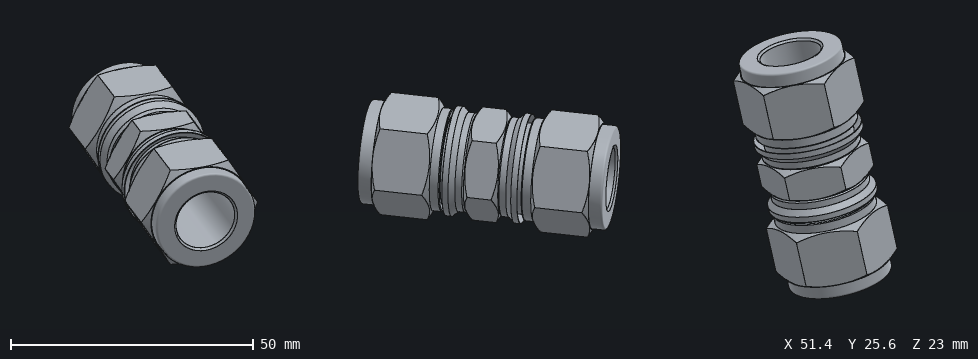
import cadquery as cq
import math

length = 51.4
half_length = length / 2

nut_flats = 22.2
nut_rim_diameter = 21.8
nut_rim_rounding = 0.5
nut_hex_start = 2.95
nut_hex_face_diameter = 22.1
nut_hex_end = 15.05
collar_diameter = 21.5
collar_end = 17.1
collar_chamfer = 0.2

neck_diameter = 18.9
flange_diameter = 23.0
flange_start = 17.85
flange_end = 19.1
shoulder_diameter = 20.75
cone_end = 20.35
dish_mouth_diameter = 22.7
dish_depth = 1.9
shoulder_end = 22.1
shoulder_chamfer = 0.3
body_flats = 20.55
body_hex_face_diameter = 20.05

bore_diameter = 10.45
socket_diameter = 12.9
socket_depth = 22.85
socket_mouth_chamfer = 0.45

corner_angle = math.radians(30)


def cylinder(start, end, diameter):
    """Solid cylinder on the X axis, with start and end measured from the -X end face."""
    plane = cq.Workplane("YZ", origin=(start - half_length, 0, 0))
    return plane.circle(diameter / 2).extrude(end - start)


def cone(start, end, start_diameter, end_diameter):
    """Solid truncated cone on the X axis, positioned like cylinder()."""
    return (
        cq.Workplane("YZ", origin=(start - half_length, 0, 0))
        .circle(start_diameter / 2)
        .workplane(offset=end - start)
        .circle(end_diameter / 2)
        .loft()
    )


def chamfered_hex(start, end, flats, start_diameter, end_diameter):
    """Hexagon with corners on +Y and -Y, trimmed by a cone at each end."""
    across_corners = flats / math.cos(math.pi / 6)
    plane = cq.Workplane("YZ", origin=(start - half_length, 0, 0))
    hexagon = plane.polygon(6, across_corners).extrude(end - start)

    corner_radius = across_corners / 2
    start_run = (corner_radius - start_diameter / 2) * math.tan(corner_angle)
    end_run = (corner_radius - end_diameter / 2) * math.tan(corner_angle)
    envelope = (
        cq.Workplane("XY")
        .polyline([
            (start - half_length, 0),
            (start - half_length, start_diameter / 2),
            (start + start_run - half_length, corner_radius),
            (end - end_run - half_length, corner_radius),
            (end - half_length, end_diameter / 2),
            (end - half_length, 0),
        ])
        .close()
        .revolve(360, (0, 0, 0), (1, 0, 0))
    )
    return hexagon.intersect(envelope)


def nut():
    """Nut at the -X end: rounded rim, hexagon and inner collar."""
    rim = cylinder(0, nut_hex_start, nut_rim_diameter).faces("<X").edges().fillet(nut_rim_rounding)
    hexagon = chamfered_hex(
        nut_hex_start, nut_hex_end, nut_flats, nut_hex_face_diameter, collar_diameter
    )
    collar = cylinder(nut_hex_end, collar_end, collar_diameter)
    collar = collar.faces(">X").edges().chamfer(collar_chamfer)
    return rim.union(hexagon).union(collar)


def body_half():
    """Neck, dished flange and shoulder between the -X nut and the central hexagon."""
    flange = cylinder(flange_start, flange_end, flange_diameter)
    flange_back = cone(flange_end, cone_end, flange_diameter, shoulder_diameter)
    shoulder = cylinder(cone_end, shoulder_end, shoulder_diameter)
    shoulder = shoulder.faces(">X").edges().chamfer(shoulder_chamfer)
    dish = cone(flange_start, flange_start + dish_depth, dish_mouth_diameter, neck_diameter)
    dished_flange = flange.union(flange_back).union(shoulder).cut(dish)
    neck = cylinder(collar_end, flange_start + dish_depth, neck_diameter)
    return dished_flange.union(neck)


def tube_socket():
    """Counterbore for the tube at the -X end, with a chamfered mouth."""
    mouth_diameter = socket_diameter + 2 * socket_mouth_chamfer
    mouth = cone(0, socket_mouth_chamfer, mouth_diameter, socket_diameter)
    return cylinder(0, socket_depth, socket_diameter).union(mouth)


left_half = nut().union(body_half())
left_socket = tube_socket()
body_hex = chamfered_hex(
    shoulder_end, length - shoulder_end, body_flats, body_hex_face_diameter, body_hex_face_diameter
)

result = (
    left_half.union(body_hex)
    .union(left_half.mirror("YZ"))
    .cut(cylinder(0, length, bore_diameter))
    .cut(left_socket)
    .cut(left_socket.mirror("YZ"))
)